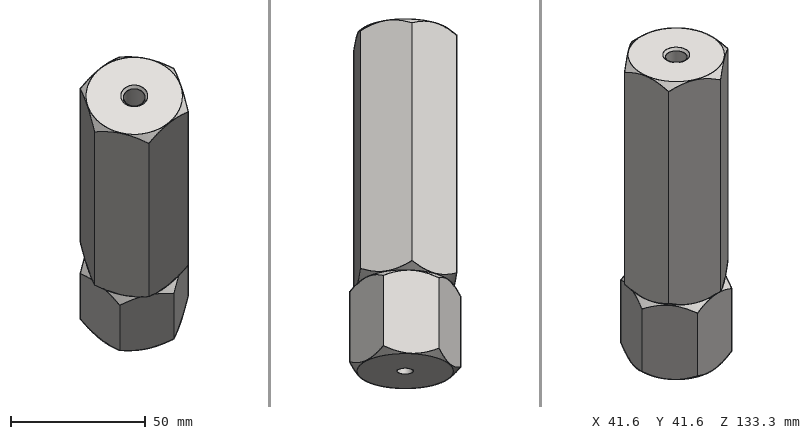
import cadquery as cq
import math

across_flats = 36.0
corner_spacing = 60
across_corners = across_flats / math.cos(math.radians(corner_spacing / 2))
face_diameter = 35.7
chamfer_height = 2.7

total_length = 133.3
nut_length = 33.3
sleeve_length = total_length - nut_length

sleeve_bore_diameter = 8.0
countersink_diameter = 10.0
countersink_depth = (countersink_diameter - sleeve_bore_diameter) / 2
nut_bore_diameter = 6.0


def chamfered_hexagon(length):
    """Hexagonal bar from Z = 0, corners along X, both ends chamfered by a cone."""
    face_radius = face_diameter / 2
    corner_radius = across_corners / 2
    bar = cq.Workplane("XY").polygon(6, across_corners).extrude(length)
    envelope = (
        cq.Workplane("XZ")
        .moveTo(0, 0)
        .lineTo(face_radius, 0)
        .lineTo(corner_radius, chamfer_height)
        .lineTo(corner_radius, length - chamfer_height)
        .lineTo(face_radius, length)
        .lineTo(0, length)
        .close()
        .revolve(360, (0, 0, 0), (0, 1, 0))
    )
    return bar.intersect(envelope)


def make_nut():
    """Short lower hexagon, corners along X, with the narrow through bore."""
    return chamfered_hexagon(nut_length).faces(">Z").workplane().hole(nut_bore_diameter)


def make_sleeve():
    """Long upper hexagon, corners along Y, with a through bore countersunk at the top."""
    body = chamfered_hexagon(sleeve_length).rotate((0, 0, 0), (0, 0, 1), corner_spacing / 2)
    bored = body.faces(">Z").workplane().hole(sleeve_bore_diameter)
    countersink = cq.Solid.makeCone(
        sleeve_bore_diameter / 2,
        countersink_diameter / 2,
        countersink_depth,
        pnt=cq.Vector(0, 0, sleeve_length - countersink_depth),
    )
    return bored.cut(cq.Workplane(countersink)).translate((0, 0, nut_length))


nut = make_nut()
sleeve = make_sleeve()

result = cq.Compound.makeCompound([nut.val(), sleeve.val()])